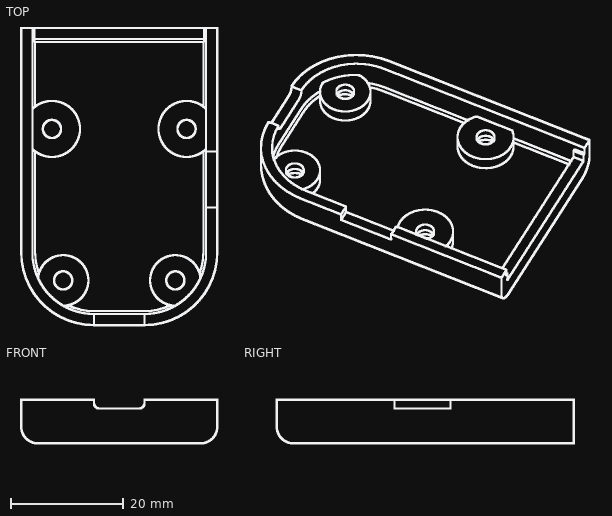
import cadquery as cq

WIDTH = 35.0
LENGTH = 53.0
HEIGHT = 7.8
CORNER_RADIUS = 13.0
BOTTOM_FILLET = 3.0

WALL = 2.0
FLOOR = 2.0
FLOOR_CHAMFER = 0.5

NOTCH_Z = 6.25

BACK_SILL_Z = 4.5
BACK_SILL_WIDTH = 30.2

FRONT_NOTCH_WIDTH = WIDTH - 2 * CORNER_RADIUS
FRONT_NOTCH_FILLET = 1.0

SIDE_NOTCH_START = 21.0
SIDE_NOTCH_LENGTH = 10.0

BOSS_PAIRS = [
    (12.0, 35.0, 5.0),
    (10.0, 8.0, 4.5),
]
BOSS_TOP_Z = 4.6
SCREW_DIAMETER = 3.2
HEAD_DIAMETER = 6.0
HEAD_DEPTH = 3.0


def rounded_block(inset, bottom_z, top_z, back_y):
    """Block inset from the outer outline, with its two front corners rounded."""
    half_width = WIDTH / 2 - inset
    block = (
        cq.Workplane("XY", origin=(0, 0, bottom_z))
        .moveTo(-half_width, inset)
        .lineTo(half_width, inset)
        .lineTo(half_width, back_y)
        .lineTo(-half_width, back_y)
        .close()
        .extrude(top_z - bottom_z)
    )
    return block.edges("|Z and <Y").fillet(CORNER_RADIUS - inset)


def box_between(x_range, y_range, z_range):
    """Axis-aligned box given by its limits along each axis."""
    size = [high - low for low, high in (x_range, y_range, z_range)]
    corner = (x_range[0], y_range[0], z_range[0])
    return cq.Workplane("XY").box(*size, centered=False).translate(corner)


def outer_body():
    """Solid outer form, rounded underneath along the sides and front but not the back."""
    body = rounded_block(0, 0, HEIGHT, LENGTH)
    lower_edges = body.faces("<Z").edges("not >Y")
    return lower_edges.fillet(BOTTOM_FILLET)


def cavity():
    """Inner pocket, open at the top, bevelled where the walls meet the floor."""
    pocket = rounded_block(WALL, FLOOR, HEIGHT, LENGTH - WALL)
    return pocket.faces("<Z").edges().chamfer(FLOOR_CHAMFER)


def back_opening():
    """Full-width upper step and a slightly narrower, deeper lower step."""
    half_inner = WIDTH / 2 - WALL
    half_sill = BACK_SILL_WIDTH / 2
    wall_y = (LENGTH - WALL, LENGTH)
    upper = box_between((-half_inner, half_inner), wall_y, (NOTCH_Z, HEIGHT))
    lower = box_between((-half_sill, half_sill), wall_y, (BACK_SILL_Z, HEIGHT))
    return upper.union(lower)


def front_notch():
    """Notch through the front wall with rounded lower corners."""
    half_width = FRONT_NOTCH_WIDTH / 2
    notch = box_between((-half_width, half_width), (0, WALL), (NOTCH_Z, HEIGHT))
    return notch.edges("|Y and <Z").fillet(FRONT_NOTCH_FILLET)


def side_notch():
    """Square notch through the +X wall."""
    return box_between(
        (WIDTH / 2 - WALL, WIDTH / 2),
        (SIDE_NOTCH_START, SIDE_NOTCH_START + SIDE_NOTCH_LENGTH),
        (NOTCH_Z, HEIGHT),
    )


def cylinder(x, y, radius, bottom_z, top_z):
    """Upright cylinder between two heights."""
    return cq.Workplane("XY", origin=(x, y, bottom_z)).circle(radius).extrude(top_z - bottom_z)


def add_bosses(body, pocket):
    """Add the screw bosses, trimmed to the cavity, and drill each from below."""
    for half_spacing, y, radius in BOSS_PAIRS:
        for x in (-half_spacing, half_spacing):
            boss = cylinder(x, y, radius, FLOOR, BOSS_TOP_Z).intersect(pocket)
            screw_hole = cylinder(x, y, SCREW_DIAMETER / 2, 0, BOSS_TOP_Z)
            head_recess = cylinder(x, y, HEAD_DIAMETER / 2, 0, HEAD_DEPTH)
            body = body.union(boss).cut(screw_hole).cut(head_recess)
    return body


inner_pocket = cavity()
shell = outer_body().cut(inner_pocket)
shell = shell.cut(back_opening()).cut(front_notch()).cut(side_notch())
result = add_bosses(shell, inner_pocket)